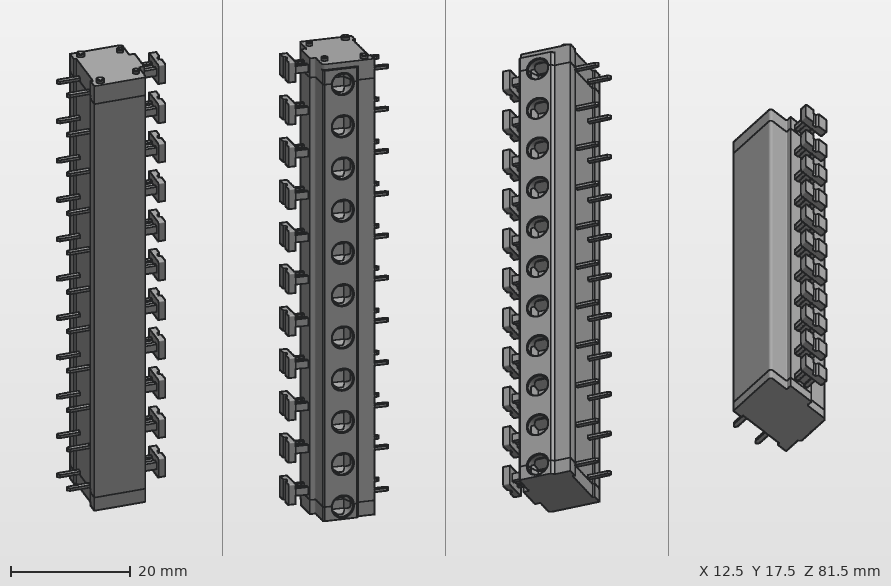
import cadquery as cq


poles = 11
pitch = 7.5
bottom_block_height = 2.5
top_block_height = 3.4
lower_split = bottom_block_height
upper_split = lower_split + (poles - 1) * pitch
strip_height = upper_split + top_block_height

housing_width = 12.0
housing_depth = 9.2
housing_corner = 0.5
foot_gap = 8.15
foot_height = 0.4
collar_width = 4.7
collar_height = 1.0
collar_root = 0.2
half_width = housing_width / 2

panel_thickness = 0.5
panel_corner = 0.25
panel_bottom = 3.35
panel_top_gap = 1.0

entry_y = 5.8
entry_offset = -0.25
bore_diameter = 3.7
bore_depth = 1.2
bore_chamfer = 0.2
throat_depth = 1.6
throat_mouth_width = 3.4
throat_mouth_height = 3.4
throat_mouth_drop = 0.1
throat_end_width = 2.2
throat_end_height = 1.95
throat_end_drop = 0.4

button_offset = 1.3
button_width = 4.7
button_height = 3.7
button_thickness = 1.2
button_corner = 0.25
leg_length = 2.5
leg_width = 0.7
leg_height = 1.3
legs_span = 2.8
web_height = 0.65
groove_width = 1.15
groove_floor = 0.6
groove_depth = 0.5

pin_offset = 0.5
pin_spacing = 5.0
pin_width = 0.8
pin_height = 0.5
pin_reach = 3.6
pin_tip_inset = 0.25
pin_tip_length = 0.4

stud_height = 0.6
stud_chamfer = 0.12
collar_stud_spacing = 7.8
collar_stud_y = 8.15
collar_stud_diameter = 1.1
foot_stud_spacing = 9.6
foot_stud_y = 1.5
foot_stud_diameter = 1.3


def housing_block(z_bottom, z_top):
    """Length of the housing, with its two feet and its collar under the buttons."""
    corner_x = half_width - housing_corner
    corner_y = housing_depth - housing_corner
    return (
        cq.Workplane("XY", origin=(0, 0, z_bottom))
        .moveTo(-half_width, 0)
        .lineTo(-foot_gap / 2, 0)
        .lineTo(-foot_gap / 2, foot_height)
        .lineTo(foot_gap / 2, foot_height)
        .lineTo(foot_gap / 2, 0)
        .lineTo(half_width, 0)
        .lineTo(half_width, corner_y)
        .radiusArc((corner_x, housing_depth), -housing_corner)
        .lineTo(collar_width / 2 + collar_root, housing_depth)
        .radiusArc((collar_width / 2, housing_depth + collar_root), collar_root)
        .lineTo(collar_width / 2, housing_depth + collar_height)
        .lineTo(-collar_width / 2, housing_depth + collar_height)
        .lineTo(-collar_width / 2, housing_depth + collar_root)
        .radiusArc((-collar_width / 2 - collar_root, housing_depth), collar_root)
        .lineTo(-corner_x, housing_depth)
        .radiusArc((-half_width, corner_y), -housing_corner)
        .close()
        .extrude(z_top - z_bottom)
    )


def entry_panel(z_bottom, z_top):
    """Raised panel on the -X side, with bevelled edges; it reaches into the housing to join it."""
    outer_x = -half_width - panel_thickness
    inner_x = -half_width + housing_corner
    return (
        cq.Workplane("XY", origin=(0, 0, z_bottom))
        .moveTo(inner_x, housing_depth)
        .lineTo(outer_x + panel_corner, housing_depth)
        .lineTo(outer_x, housing_depth - panel_corner)
        .lineTo(outer_x, panel_bottom)
        .lineTo(-half_width, panel_bottom - panel_thickness)
        .lineTo(inner_x, panel_bottom - panel_thickness)
        .close()
        .extrude(z_top - z_bottom)
    )


def wire_entry(pole_z):
    """Volume cut for one wire entry, from the panel's outer face inwards."""
    mouth_x = -half_width - panel_thickness
    mouth_center = (mouth_x, entry_y, pole_z + entry_offset)
    entry_plane = cq.Plane(origin=mouth_center, xDir=(0, 1, 0), normal=(1, 0, 0))
    bore = cq.Workplane(entry_plane).circle(bore_diameter / 2).extrude(bore_depth)
    rim = (
        cq.Workplane(entry_plane)
        .circle(bore_diameter / 2 + bore_chamfer)
        .workplane(offset=bore_chamfer)
        .circle(bore_diameter / 2)
        .loft(ruled=True)
    )
    throat = (
        cq.Workplane(entry_plane)
        .workplane(offset=bore_depth)
        .center(0, -throat_mouth_drop)
        .rect(throat_mouth_width, throat_mouth_height)
        .workplane(offset=throat_depth)
        .center(0, throat_mouth_drop - throat_end_drop)
        .rect(throat_end_width, throat_end_height)
        .loft(ruled=True)
    )
    bore_reach = cq.Workplane(entry_plane).circle(bore_diameter / 2).extrude(bore_depth + throat_depth)
    return bore.union(rim).union(throat.intersect(bore_reach))


def push_button(pole_z):
    """Grooved button head carried above the collar on two legs with a web between them."""
    center_z = pole_z + button_offset
    leg_foot = housing_depth + collar_height
    head_bottom = leg_foot + leg_length
    head_top = head_bottom + button_thickness
    head = (
        cq.Workplane("XY")
        .box(button_width, button_thickness, button_height)
        .edges("|Y")
        .fillet(button_corner)
        .translate((0, head_bottom + button_thickness / 2, center_z))
    )
    groove = (
        cq.Workplane("XY", origin=(0, 0, center_z))
        .moveTo(-groove_width / 2, head_top)
        .lineTo(groove_width / 2, head_top)
        .lineTo(groove_floor / 2, head_top - groove_depth)
        .lineTo(-groove_floor / 2, head_top - groove_depth)
        .close()
        .extrude(button_height / 2, both=True)
    )
    leg_center = (0, leg_foot + leg_length / 2, center_z)
    web = cq.Workplane("XY").box(legs_span - leg_width, leg_length, web_height)
    button = head.cut(groove).union(web.translate(leg_center))
    for side in (-1, 1):
        leg = cq.Workplane("XY").box(leg_width, leg_length, leg_height)
        leg_x = side * (legs_span - leg_width) / 2
        button = button.union(leg.translate(leg_center).translate((leg_x, 0, 0)))
    return button


def solder_pin(pin_x, pole_z):
    """Flat pin with a pointed tip, standing out from between the feet."""
    half_pin = pin_width / 2
    tip_half = half_pin - pin_tip_inset
    shoulder_y = -pin_reach + pin_tip_length
    return (
        cq.Workplane("XY", origin=(pin_x, 0, pole_z + pin_offset))
        .moveTo(-half_pin, foot_height)
        .lineTo(-half_pin, shoulder_y)
        .lineTo(-tip_half, -pin_reach)
        .lineTo(tip_half, -pin_reach)
        .lineTo(half_pin, shoulder_y)
        .lineTo(half_pin, foot_height)
        .close()
        .extrude(pin_height / 2, both=True)
    )


def stud_pair(spacing, stud_y, diameter):
    """Two round studs with bevelled rims on the top face."""
    return (
        cq.Workplane("XY", origin=(0, stud_y, strip_height))
        .pushPoints([(-spacing / 2, 0), (spacing / 2, 0)])
        .circle(diameter / 2)
        .extrude(stud_height)
        .faces(">Z")
        .chamfer(stud_chamfer)
    )


def terminal_block(z_bottom, z_top, panel_top, pole_numbers):
    """One block of the strip, with the buttons and pins of the given poles."""
    block = housing_block(z_bottom, z_top).union(entry_panel(z_bottom, panel_top))
    for pole in range(poles):
        pole_z = lower_split + pole * pitch
        if z_bottom - bore_diameter < pole_z < z_top + bore_diameter:
            block = block.cut(wire_entry(pole_z))
    for pole in pole_numbers:
        pole_z = lower_split + pole * pitch
        block = block.union(push_button(pole_z))
        for side in (-1, 1):
            block = block.union(solder_pin(side * pin_spacing / 2, pole_z))
    return block


bottom_block = terminal_block(0, lower_split, lower_split, [])
middle_block = terminal_block(lower_split, upper_split, upper_split, range(poles - 1))
top_block = terminal_block(upper_split, strip_height, strip_height - panel_top_gap, [poles - 1])
top_block = top_block.union(stud_pair(collar_stud_spacing, collar_stud_y, collar_stud_diameter))
top_block = top_block.union(stud_pair(foot_stud_spacing, foot_stud_y, foot_stud_diameter))

result = cq.Compound.makeCompound([bottom_block.val(), middle_block.val(), top_block.val()])